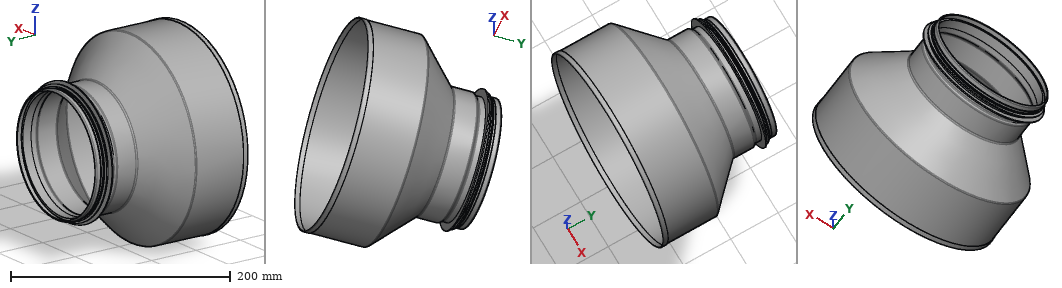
import cadquery as cq
import math

sheet = 0.5
length = 143.0

hem_diameter = 202.4
wide_diameter = hem_diameter - 2 * sheet
narrow_diameter = 124.0
groove_diameter = 119.2

rim_opening = 120.5

hem_length = 5.0
cone_start = 58.3
cone_length = (wide_diameter - narrow_diameter) / 2
cone_end = cone_start + cone_length
groove_start = 121.6
shoulder_start = groove_start - (narrow_diameter - groove_diameter) / 2
collar_length = 6.0
groove_end = length - collar_length

wide_bend_radius = 2.0
neck_bend_radius = 2.0
shoulder_bend_radius = 1.6
rim_bend_radius = 1.5
hem_edge_radius = 0.5

seal_diameter = 123.0
seal_start = 127.7
seal_lips = [
    (134.4, 128.3, 1.2),
    (129.5, 132.3, 1.2),
    (125.7, 134.5, 0.6),
]


def revolve(points):
    """Turn a closed (radius, y) outline about the Y axis."""
    return cq.Workplane("XY").polyline(points).close().revolve(360, (0, 0, 0), (0, 1, 0))


def ring(outer_diameter, inner_diameter, start, end):
    """Plain ring between two stations along Y."""
    outer = outer_diameter / 2
    inner = inner_diameter / 2
    return revolve([(inner, start), (outer, start), (outer, end), (inner, end)])


def round_edge(body, station, radius):
    """Round the circular edge that lies at one station along Y."""
    reach = hem_diameter
    margin = 0.02
    edge = cq.selectors.BoxSelector(
        (-reach, station - margin, -reach), (reach, station + margin, reach), boundingbox=True
    )
    return body.edges(edge).fillet(radius)


def make_envelope(inset):
    """Solid bounded by the sheet's outer surface (inset 0) or inner surface (inset = sheet)."""
    wide = wide_diameter / 2 - inset
    narrow = narrow_diameter / 2 - inset
    groove = groove_diameter / 2 - inset
    slide = inset * math.tan(math.radians(22.5))
    corners = [cone_start - slide, cone_end - slide, shoulder_start - slide, groove_start - slide]
    body = revolve([
        (0, 0),
        (wide, 0),
        (wide, corners[0]),
        (narrow, corners[1]),
        (narrow, corners[2]),
        (groove, corners[3]),
        (groove, groove_end + inset),
        (narrow, groove_end + inset),
        (narrow, length - inset),
        (0, length - inset),
    ])
    body = round_edge(body, corners[0], wide_bend_radius - inset)
    body = round_edge(body, corners[1], neck_bend_radius + inset)
    body = round_edge(body, corners[2], shoulder_bend_radius - inset)
    return round_edge(body, corners[3], shoulder_bend_radius + inset)


def make_reducer():
    outside = round_edge(make_envelope(0), length, rim_bend_radius)
    hem = ring(hem_diameter, wide_diameter - sheet, 0, hem_length)
    hem = hem.faces("<Y").edges(cq.selectors.RadiusNthSelector(-1)).fillet(hem_edge_radius)
    bore = round_edge(make_envelope(sheet), length - sheet, rim_bend_radius - sheet)
    opening = ring(rim_opening, 0, length - rim_bend_radius, length)
    return outside.union(hem).cut(bore).cut(opening)


def make_seal():
    seal = ring(seal_diameter, groove_diameter, seal_start, groove_end)
    for diameter, centre, thickness in seal_lips:
        seal = seal.union(
            ring(diameter, groove_diameter, centre - thickness / 2, centre + thickness / 2)
        )
    return seal


reducer = make_reducer()
seal = make_seal()
result = cq.Compound.makeCompound([reducer.solids().val(), seal.solids().val()])